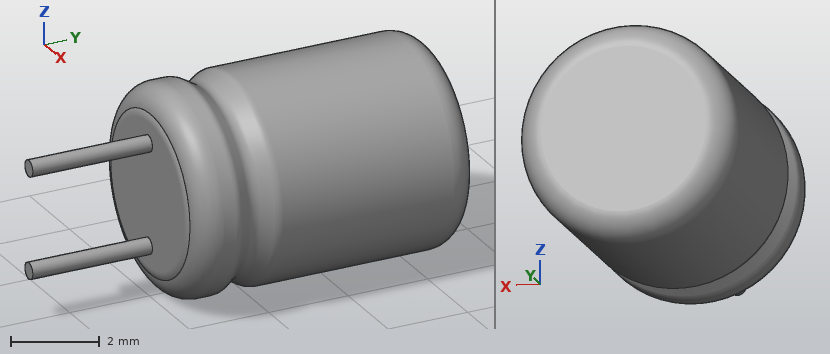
import cadquery as cq
import math


CAN_RADIUS = 2.52
BODY_LENGTH = 7.05
EDGE_RADIUS = 0.6
RIM_SETBACK = 0.05

GROOVE_Y = 1.55
GROOVE_DEPTH = 0.25
GROOVE_ANGLE = math.radians(32.0)
GROOVE_BLEND = 0.3

PLUG_RADIUS = 1.98
PLUG_FACE_RADIUS = 1.8
PLUG_DEPTH = GROOVE_Y
LEAD_RADIUS = 0.2
LEAD_PITCH = 2.54
LEAD_LENGTH = 10.06 - BODY_LENGTH


def revolve_about_y(profile):
    """Revolve a closed (radius, y) profile drawn in the XY plane around the Y axis."""
    return profile.close().revolve(360, (0, 0, 0), (0, 1, 0))


def add_groove(profile):
    """Continue a profile that runs toward +Y along the can wall through the crimp groove."""
    groove_radius = CAN_RADIUS - GROOVE_DEPTH
    blend_length = GROOVE_BLEND * math.sin(GROOVE_ANGLE)
    blend_drop = GROOVE_BLEND * (1 - math.cos(GROOVE_ANGLE))
    flank_length = (GROOVE_DEPTH - 2 * blend_drop) / math.tan(GROOVE_ANGLE)
    half_flank = blend_length + flank_length
    half_width = half_flank + blend_length
    shoulder_radius = CAN_RADIUS - blend_drop
    foot_radius = groove_radius + blend_drop
    return (
        profile
        .lineTo(CAN_RADIUS, GROOVE_Y - half_width)
        .radiusArc((shoulder_radius, GROOVE_Y - half_flank), -GROOVE_BLEND)
        .lineTo(foot_radius, GROOVE_Y - blend_length)
        .threePointArc((groove_radius, GROOVE_Y), (foot_radius, GROOVE_Y + blend_length))
        .lineTo(shoulder_radius, GROOVE_Y + half_flank)
        .radiusArc((CAN_RADIUS, GROOVE_Y + half_width), -GROOVE_BLEND)
    )


def make_can():
    """Grooved can with rounded edges and a blind recess for the plug."""
    edge_center_radius = CAN_RADIUS - EDGE_RADIUS
    rim_reach = math.sqrt(EDGE_RADIUS**2 - (PLUG_RADIUS - edge_center_radius)**2)
    profile = (
        cq.Workplane("XY")
        .moveTo(0, PLUG_DEPTH)
        .lineTo(PLUG_RADIUS, PLUG_DEPTH)
        .lineTo(PLUG_RADIUS, RIM_SETBACK)
        .radiusArc((CAN_RADIUS, RIM_SETBACK + rim_reach), -EDGE_RADIUS)
    )
    profile = (
        add_groove(profile)
        .lineTo(CAN_RADIUS, BODY_LENGTH - EDGE_RADIUS)
        .radiusArc((edge_center_radius, BODY_LENGTH), -EDGE_RADIUS)
        .lineTo(0, BODY_LENGTH)
    )
    return revolve_about_y(profile)


def make_plug_with_leads():
    """Plug that fills the recess, its rounded lip standing proud of the rim, and two round leads."""
    lip_width = PLUG_RADIUS - PLUG_FACE_RADIUS
    lip_radius = (lip_width**2 + RIM_SETBACK**2) / (2 * RIM_SETBACK)
    profile = (
        cq.Workplane("XY")
        .lineTo(PLUG_FACE_RADIUS, 0)
        .radiusArc((PLUG_RADIUS, RIM_SETBACK), -lip_radius)
        .lineTo(PLUG_RADIUS, PLUG_DEPTH)
        .lineTo(0, PLUG_DEPTH)
    )
    plug = revolve_about_y(profile)
    leads = (
        cq.Workplane("XZ")
        .pushPoints([(0, side * LEAD_PITCH / 2) for side in (-1, 1)])
        .circle(LEAD_RADIUS)
        .extrude(LEAD_LENGTH)
    )
    return plug.union(leads).solids()


can = make_can()
plug_with_leads = make_plug_with_leads()

result = cq.Compound.makeCompound([can.val(), plug_with_leads.val()])